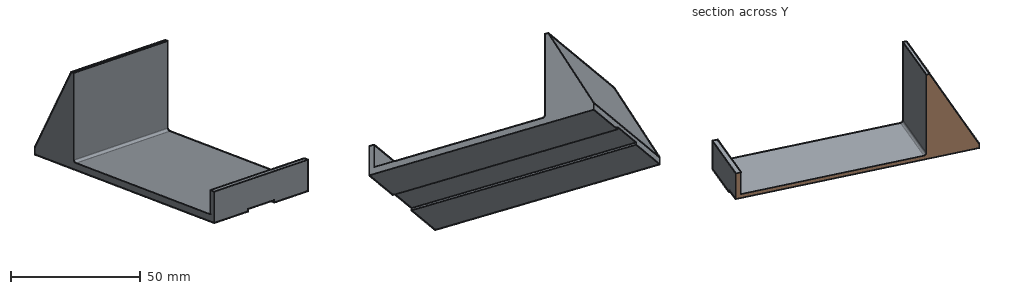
import cadquery as cq

length = 101.0
width = 50.0
height = 40.0

base_thickness = 3.0
lip_thickness = 2.2
lip_height = 13.0

rest_depth = 22.0
rest_top_thickness = 1.5
inner_fillet = 1.0

groove_width = 14.0
groove_depth = 1.0

profile = [
    (0, 0),
    (length, 0),
    (length, lip_height),
    (length - lip_thickness, lip_height),
    (length - lip_thickness, base_thickness),
    (rest_depth, base_thickness),
    (rest_depth, height),
    (rest_depth - rest_top_thickness, height),
    (0, base_thickness),
]
body = cq.Workplane("XZ").polyline(profile).close().extrude(width / 2, both=True)

inner_corner = cq.selectors.NearestToPointSelector((rest_depth, 0, base_thickness))
body = body.edges(inner_corner).fillet(inner_fillet)

groove = cq.Workplane("XY").box(
    length, groove_width, groove_depth, centered=(False, True, False)
)
result = body.cut(groove)